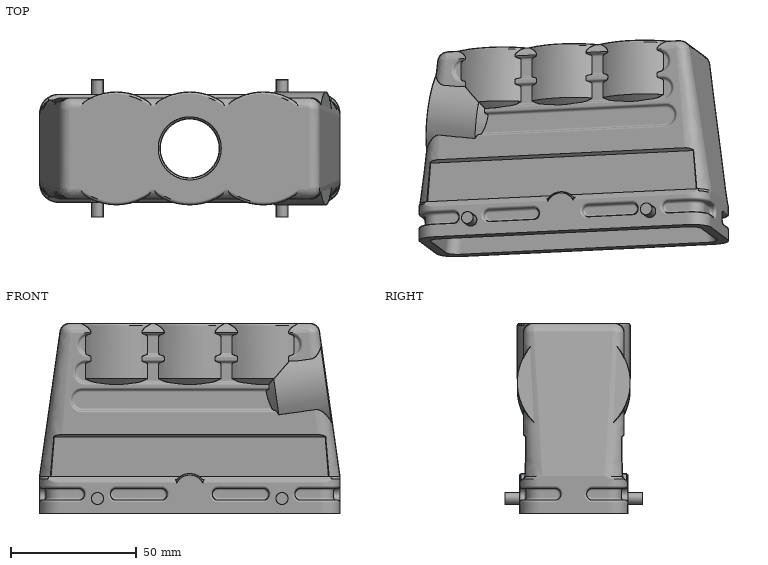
import cadquery as cq
import math

LENGTH = 120
HEIGHT = 76.0
PIN_SPAN = 55.0

BASE_WIDTH = 43.2
BASE_HEIGHT = 14.9
BASE_CORNER = 7.8
SHOULDER_Z = 13.8
LEDGE_EDGE_Z = 12.5
LEDGE_EDGE_ROUND = 0.6
BUMP_RADIUS = 6.6
BUMP_TOP = 16.0
BUMP_CHAMFER = 0.6
BUMP_BLEND = 1.0

BODY_WIDTH = 40.3
TOP_LENGTH = 102.7
BODY_CORNER_LOW = 7.7
BODY_CORNER_HIGH = 4.1
TOP_ROUND = 4.0
PANEL_WIDTH = 38.2
PANEL_LENGTH_LOW = 110.9
PANEL_LENGTH_HIGH = 108
PANEL_TOP = 30.5
PANEL_STEP = (BODY_WIDTH - PANEL_WIDTH) / 2

LOBE_RADIUS = 22.6
LOBE_PITCH = 29.3
LOBE_BOTTOM = 53.9
LOBE_TOP_ROUND = 1.0
LOBE_REACH = 16.1

GROOVE_HEIGHT = 10.1
GROOVE_FLOOR_HEIGHT = 6.5
GROOVE_DEPTH = 1.3
GROOVE_LOW_Z = 45.2
GROOVE_PITCH = 11.0
GROOVE_COUNT = 3
GROOVE_LOW_LENGTH = 95.8
GROOVE_SHORTENING = 2.6

BOSS_RADIUS = LOBE_RADIUS
BOSS_AXIS_Z = 52.3
BOSS_LENGTH = 20.4
BOSS_SETBACK = 0.4
BOSS_INNER_Y = 14.4

SLOT_Z = 7.7
SLOT_HEIGHT = 4.7
SLOT_DEPTH = 2.5
SLOT_ROUND = 1.0
SLOT_X_INNER = 9.0
SLOT_X_OUTER = 31.7
CORNER_SLOT_X = 42
CORNER_SLOT_Y = 5.2

PIN_DIAMETER = 4.8
PIN_X = 36.8
PIN_Z = 6
WALL = 4.2
CAVITY_WIDTH = 33.6
CAVITY_CORNER = 4.8
ROOF = 4.8
HOLE_DIAMETER = 23.5
HOLE_CHAMFER = 0.8

SIDES = (-1, 1)
SELECT_MARGIN = 0.1
wall_run = (LENGTH - TOP_LENGTH) / 2
wall_rise = HEIGHT - BASE_HEIGHT
wall_angle = math.atan2(wall_run, wall_rise)


def rounded_block(length, width, corner, bottom, top):
    block = cq.Workplane("XY").workplane(offset=bottom).rect(length, width).extrude(top - bottom)
    return block.edges("|Z").fillet(corner)


def rounded_taper(low, high, bottom, top):
    """Loft between two rounded rectangles, each given as (length, width, corner radius)."""
    low_outline = cq.Sketch().rect(low[0], low[1]).vertices().fillet(low[2])
    high_outline = cq.Sketch().rect(high[0], high[1]).vertices().fillet(high[2])
    return (
        cq.Workplane("XY")
        .placeSketch(
            low_outline.moved(cq.Location(cq.Vector(0, 0, bottom))),
            high_outline.moved(cq.Location(cq.Vector(0, 0, top))),
        )
        .loft(ruled=True)
    )


def side_plane(side, distance):
    """Plane facing outward at a distance from the middle, on the -Y (-1) or +Y (1) side."""
    return cq.Plane(origin=(0, side * distance, 0), xDir=(-side, 0, 0), normal=(0, side, 0))


def make_body():
    body = rounded_taper(
        (LENGTH, BODY_WIDTH, BODY_CORNER_LOW),
        (TOP_LENGTH, BODY_WIDTH, BODY_CORNER_HIGH),
        BASE_HEIGHT,
        HEIGHT,
    )
    body = body.faces(">Z").edges().fillet(TOP_ROUND)
    for side in SIDES:
        body = body.cut(make_panel_recess(side))
        for row in range(GROOVE_COUNT):
            body = body.cut(make_groove(side, row))
    return body


def make_panel_recess(side):
    """Flat recess below the grooves, framed by a 45 degree step at its top and ends."""
    half_low = PANEL_LENGTH_LOW / 2 + PANEL_STEP
    half_high = PANEL_LENGTH_HIGH / 2 + PANEL_STEP
    low_z = BASE_HEIGHT - PANEL_STEP
    high_z = PANEL_TOP + PANEL_STEP
    return (
        cq.Workplane(side_plane(side, BODY_WIDTH / 2))
        .polyline([(-half_low, low_z), (half_low, low_z), (half_high, high_z), (-half_high, high_z)])
        .close()
        .extrude(-PANEL_STEP, taper=45)
    )


def make_groove(side, row):
    """Round-ended groove whose wall is an S-curve from the rim down to the floor."""
    rim = GROOVE_HEIGHT / 2
    floor = GROOVE_FLOOR_HEIGHT / 2
    half_wall = (rim - floor) / 2
    half_depth = GROOVE_DEPTH / 2
    wall_radius = (half_wall**2 + half_depth**2) / (2 * half_depth)
    run = GROOVE_LOW_LENGTH - row * GROOVE_SHORTENING - GROOVE_HEIGHT
    half_section = (
        cq.Workplane("XZ", origin=(0, run / 2, 0))
        .lineTo(rim, 0)
        .radiusArc((rim - half_wall, -half_depth), -wall_radius)
        .radiusArc((floor, -GROOVE_DEPTH), wall_radius)
        .lineTo(0, -GROOVE_DEPTH)
        .close()
    )
    middle = half_section.extrude(run)
    middle = middle.union(middle.mirror("YZ"))
    round_end = half_section.toPending().revolve(360, (0, 0, 0), (0, 1, 0))
    groove = middle.union(round_end).union(round_end.mirror("XZ"))
    groove = groove.rotate((0, 0, 0), (0, 0, 1), 90).rotate((0, 0, 0), (1, 0, 0), -side * 90)
    return groove.translate((0, side * BODY_WIDTH / 2, GROOVE_LOW_Z + row * GROOVE_PITCH))


def make_lobe(x):
    """Upright cylinder with a 45 degree cone below, cut off short of the body's end walls."""
    tip = LOBE_RADIUS / 2
    cone_bottom = LOBE_BOTTOM - (LOBE_RADIUS - tip)
    return (
        cq.Workplane("XZ")
        .lineTo(0, HEIGHT)
        .lineTo(LOBE_RADIUS - LOBE_TOP_ROUND, HEIGHT)
        .radiusArc((LOBE_RADIUS, HEIGHT - LOBE_TOP_ROUND), LOBE_TOP_ROUND)
        .lineTo(LOBE_RADIUS, LOBE_BOTTOM)
        .lineTo(tip, cone_bottom)
        .lineTo(0, cone_bottom)
        .close()
        .revolve(360, (0, 0, 0), (0, 1, 0))
        .intersect(cq.Workplane("XY").box(2 * LOBE_REACH, BASE_WIDTH * 2, HEIGHT * 2))
        .translate((x, 0, 0))
    )


def make_boss():
    """Cylinder square to the sloped +X wall, with a 45 degree cone at its inner end."""
    wall_x = LENGTH / 2 - (BOSS_AXIS_Z - BASE_HEIGHT) * wall_run / wall_rise
    end_x = wall_x - BOSS_SETBACK
    inward = (-math.cos(wall_angle), 0, -math.sin(wall_angle))
    end_plane = cq.Plane(origin=(end_x, 0, BOSS_AXIS_Z), xDir=(0, 1, 0), normal=inward)
    cone_length = BOSS_RADIUS / 2
    return (
        cq.Workplane(end_plane)
        .circle(BOSS_RADIUS)
        .extrude(BOSS_LENGTH + cone_length)
        .faces(cq.selectors.DirectionMinMaxSelector(cq.Vector(*inward), True))
        .chamfer(cone_length)
        .cut(cq.Workplane("XY").box(2 * LENGTH, 2 * BOSS_INNER_Y, 2 * HEIGHT))
    )


def make_slot_cutters():
    """Straight slots on the long sides and slots that wrap the four corners."""
    skin = rounded_block(LENGTH, BASE_WIDTH, BASE_CORNER, 0, BASE_HEIGHT).cut(
        rounded_block(
            LENGTH - 2 * SLOT_DEPTH,
            BASE_WIDTH - 2 * SLOT_DEPTH,
            BASE_CORNER - SLOT_DEPTH,
            0,
            BASE_HEIGHT,
        )
    )
    slot_length = SLOT_X_OUTER - SLOT_X_INNER
    slots = (
        cq.Workplane("XZ")
        .pushPoints([(s * (SLOT_X_INNER + SLOT_X_OUTER) / 2, SLOT_Z) for s in SIDES])
        .slot2D(slot_length, SLOT_HEIGHT)
        .extrude(BASE_WIDTH, both=True)
    )
    long_reach = LENGTH - CORNER_SLOT_X
    end_reach = BASE_WIDTH - CORNER_SLOT_Y
    for x_side in SIDES:
        for y_side in SIDES:
            along = (
                cq.Workplane("XZ")
                .center(x_side * (CORNER_SLOT_X + long_reach / 2), SLOT_Z)
                .slot2D(long_reach, SLOT_HEIGHT)
                .extrude(-y_side * BASE_WIDTH)
                .translate((0, y_side * (BASE_WIDTH / 2 - BASE_CORNER), 0))
            )
            across = (
                cq.Workplane("YZ")
                .center(y_side * (CORNER_SLOT_Y + end_reach / 2), SLOT_Z)
                .slot2D(end_reach, SLOT_HEIGHT)
                .extrude(x_side * LENGTH)
                .translate((x_side * (LENGTH / 2 - BASE_CORNER), 0, 0))
            )
            slots = slots.union(along).union(across)
    return slots.intersect(skin)


def make_collar():
    collar = rounded_block(LENGTH, BASE_WIDTH, BASE_CORNER, 0, SHOULDER_Z).cut(make_slot_cutters())
    slot_band = cq.selectors.BoxSelector(
        (-LENGTH, -BASE_WIDTH, SLOT_Z - SLOT_HEIGHT),
        (LENGTH, BASE_WIDTH, SLOT_Z + SLOT_HEIGHT),
    )
    rims = collar.edges(slot_band).edges("|X").filter(lambda edge: edge.Length() > SLOT_HEIGHT)
    collar = rims.fillet(SLOT_ROUND)
    shoulder = rounded_taper(
        (LENGTH, BASE_WIDTH, BASE_CORNER),
        (LENGTH, BODY_WIDTH, BODY_CORNER_LOW),
        SHOULDER_Z,
        BASE_HEIGHT,
    )
    collar = collar.union(shoulder)
    for side in SIDES:
        collar = collar.cut(make_ledge_wedge(side))
    ledge_edges = cq.selectors.BoxSelector(
        (-SELECT_MARGIN, -BASE_WIDTH, LEDGE_EDGE_Z - SELECT_MARGIN),
        (SELECT_MARGIN, BASE_WIDTH, LEDGE_EDGE_Z + SELECT_MARGIN),
    )
    collar = collar.edges(ledge_edges).fillet(LEDGE_EDGE_ROUND)
    for side in SIDES:
        collar = collar.union(make_bump(side))
    bump_zone = cq.selectors.BoxSelector(
        (-BUMP_RADIUS, -BASE_WIDTH, LEDGE_EDGE_Z),
        (BUMP_RADIUS, BASE_WIDTH, BASE_HEIGHT),
    )
    return collar.edges(bump_zone).edges("%ELLIPSE").fillet(BUMP_BLEND)


def make_ledge_wedge(side):
    """Wedge that slopes the collar down from the name panel to its outer wall."""
    outline = [
        (side * PANEL_WIDTH / 2, BASE_HEIGHT),
        (side * BASE_WIDTH / 2, BASE_HEIGHT),
        (side * BASE_WIDTH / 2, LEDGE_EDGE_Z),
    ]
    return cq.Workplane("YZ").polyline(outline).close().extrude(LENGTH / 2, both=True)


def make_bump(side):
    """Round disc flush with the collar wall, standing up through the ledge."""
    return (
        cq.Workplane(side_plane(side, CAVITY_WIDTH / 2))
        .center(0, BUMP_TOP - BUMP_RADIUS)
        .circle(BUMP_RADIUS)
        .extrude((BASE_WIDTH - CAVITY_WIDTH) / 2)
        .faces(">Y" if side > 0 else "<Y")
        .chamfer(BUMP_CHAMFER)
    )


def make_pins(side):
    return (
        cq.Workplane(side_plane(side, CAVITY_WIDTH / 2))
        .pushPoints([(-PIN_X, PIN_Z), (PIN_X, PIN_Z)])
        .circle(PIN_DIAMETER / 2)
        .extrude((PIN_SPAN - CAVITY_WIDTH) / 2)
    )


def make_cavity():
    """Hollow inside, open at the bottom."""
    return rounded_taper(
        (LENGTH - 2 * WALL, CAVITY_WIDTH, CAVITY_CORNER),
        (TOP_LENGTH - 2 * WALL, CAVITY_WIDTH, CAVITY_CORNER),
        0,
        HEIGHT - ROOF,
    )


hood = make_body()
for lobe_index in (-1, 0, 1):
    hood = hood.union(make_lobe(lobe_index * LOBE_PITCH))
hood = hood.union(make_boss()).union(make_collar())
hood = hood.cut(make_cavity())
for pin_side in SIDES:
    hood = hood.union(make_pins(pin_side))

hole = cq.Workplane("XY", origin=(0, 0, HEIGHT - ROOF)).circle(HOLE_DIAMETER / 2).extrude(ROOF)
rim_cone = cq.Workplane("XY").add(
    cq.Solid.makeCone(
        HOLE_DIAMETER / 2,
        HOLE_DIAMETER / 2 + HOLE_CHAMFER,
        HOLE_CHAMFER,
        cq.Vector(0, 0, HEIGHT - HOLE_CHAMFER),
    )
)
result = hood.cut(hole).cut(rim_cone)